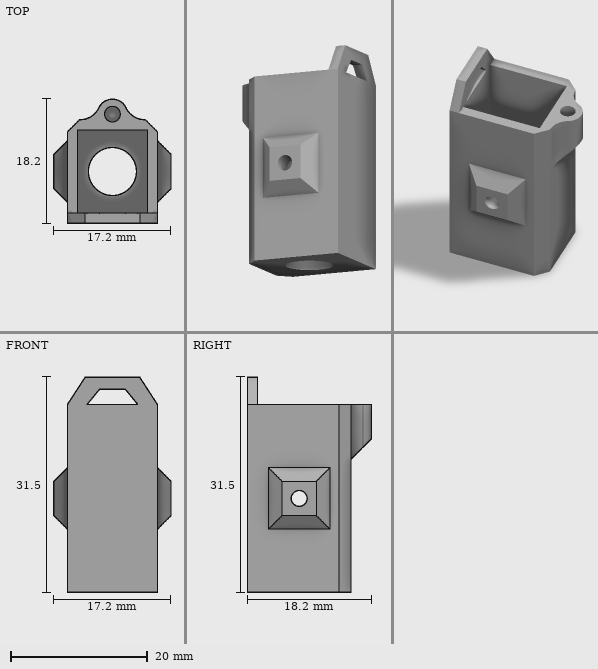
import cadquery as cq
import math

wall = 1.5
pocket_width = 10.2
pocket_depth_y = 12.2
body_height = 27.5
body_width = pocket_width + 2 * wall
body_depth = pocket_depth_y + 2 * wall
pocket_center_y = wall + pocket_depth_y / 2
back_chamfer = 1.8

floor_thickness = 1.5
floor_hole_diameter = 7.0

tab_height = 4.0
tab_top_width = 8.0
window_height = 2.2
window_bottom_width = 7.4
window_top_width = 3.8

boss_height = 2.0
boss_top_side = 5.0
boss_base_side = boss_top_side + 2 * boss_height
boss_center_z = body_height / 2

small_hole_diameter = 2.3
lug_reach = 3.0
lug_radius = 2.2
lug_blend_radius = 3.0
lug_straight_height = 5.0
lug_hole_depth = 5.0
lug_center_y = body_depth + lug_reach - lug_radius


def trapezoid_plate(bottom_width, top_width, height):
    """Plate as thick as the wall, standing on the shoulder level at the front face."""
    outline = [
        (-bottom_width / 2, body_height),
        (bottom_width / 2, body_height),
        (top_width / 2, body_height + height),
        (-top_width / 2, body_height + height),
    ]
    return cq.Workplane("XZ").polyline(outline).close().extrude(-wall)


def make_body():
    """Solid block with its two rear vertical edges chamfered."""
    block = cq.Workplane("XY").box(body_width, body_depth, body_height, centered=(True, False, False))
    return block.edges("|Z and >Y").chamfer(back_chamfer)


def make_tab():
    tab = trapezoid_plate(body_width, tab_top_width, tab_height)
    return tab.cut(trapezoid_plate(window_bottom_width, window_top_width, window_height))


def make_boss(side):
    """Frustum on the side face; side is -1 for -X and +1 for +X."""
    face = cq.Plane(
        origin=(side * body_width / 2, pocket_center_y, boss_center_z),
        xDir=(0, 1, 0),
        normal=(side, 0, 0),
    )
    return (
        cq.Workplane(face)
        .rect(boss_base_side, boss_base_side)
        .workplane(offset=boss_height)
        .rect(boss_top_side, boss_top_side)
        .loft(ruled=True)
    )


def make_lug():
    """Round lug with concave blends, undercut by a 45 degree slope."""
    blend_center_y = body_depth + lug_blend_radius
    center_distance = lug_radius + lug_blend_radius
    rise = blend_center_y - lug_center_y
    blend_center_x = math.sqrt(center_distance**2 - rise**2)
    touch_x = blend_center_x * lug_radius / center_distance
    touch_y = lug_center_y + rise * lug_radius / center_distance

    touch_angle = math.pi + math.asin(rise / center_distance)
    middle_angle = (touch_angle + 3 * math.pi / 2) / 2
    middle_x = blend_center_x + lug_blend_radius * math.cos(middle_angle)
    middle_y = blend_center_y + lug_blend_radius * math.sin(middle_angle)

    root_y = body_depth - wall
    tip_y = body_depth + lug_reach
    column = (
        cq.Workplane("XY", origin=(0, 0, body_height))
        .moveTo(blend_center_x, root_y)
        .lineTo(blend_center_x, body_depth)
        .threePointArc((middle_x, middle_y), (touch_x, touch_y))
        .threePointArc((0, tip_y), (-touch_x, touch_y))
        .threePointArc((-middle_x, middle_y), (-blend_center_x, body_depth))
        .lineTo(-blend_center_x, root_y)
        .close()
        .extrude(-body_height)
    )
    slope_start_z = body_height - lug_straight_height
    side_profile = [
        (root_y, body_height),
        (tip_y, body_height),
        (tip_y, slope_start_z),
        (root_y, slope_start_z - (tip_y - root_y)),
    ]
    envelope = cq.Workplane("YZ").polyline(side_profile).close().extrude(body_width / 2, both=True)
    return column.intersect(envelope)


def make_pocket():
    pocket = cq.Workplane("XY").box(
        pocket_width, pocket_depth_y, body_height - floor_thickness, centered=(True, True, False)
    )
    return pocket.translate((0, pocket_center_y, floor_thickness))


def make_floor_hole():
    return cq.Workplane("XY").center(0, pocket_center_y).circle(floor_hole_diameter / 2).extrude(floor_thickness)


def make_cross_hole():
    """Hole along X through both bosses and side walls."""
    half_length = body_width / 2 + boss_height
    axis_plane = cq.Workplane("YZ").center(pocket_center_y, boss_center_z)
    return axis_plane.circle(small_hole_diameter / 2).extrude(half_length, both=True)


def make_lug_hole():
    top_plane = cq.Workplane("XY", origin=(0, lug_center_y, body_height))
    return top_plane.circle(small_hole_diameter / 2).extrude(-lug_hole_depth)


result = make_body().union(make_tab()).union(make_lug())
for side in (-1, 1):
    result = result.union(make_boss(side))
for cutter in (make_pocket(), make_floor_hole(), make_cross_hole(), make_lug_hole()):
    result = result.cut(cutter)